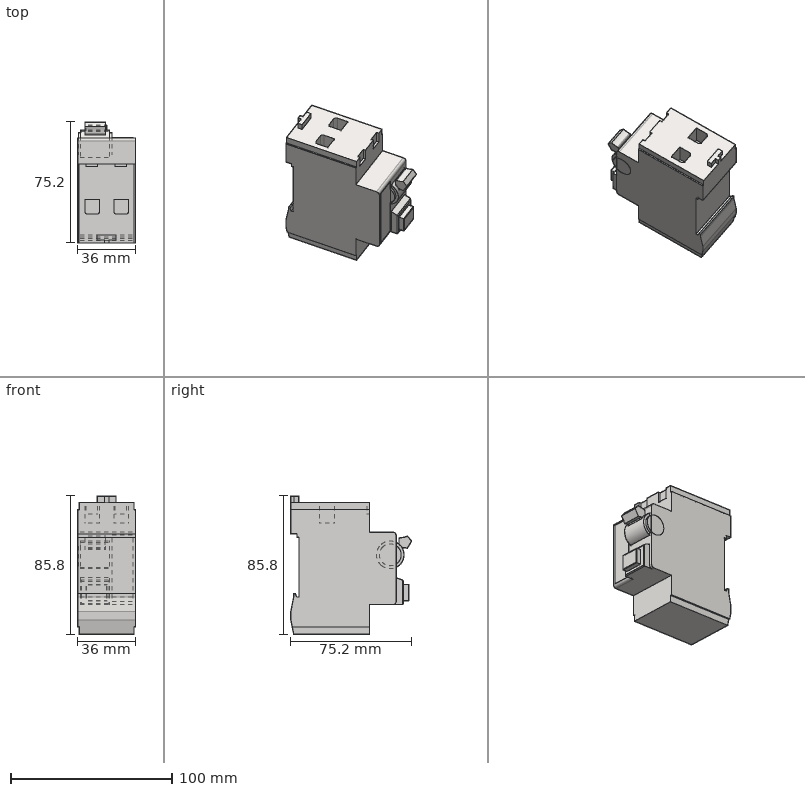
import cadquery as cq

WIDTH = 36.0
HOUSING_HEIGHT = 81.9
SHOULDER_DEPTH = 49.1
NOSE_FRONT = 65.5
NOSE_BOTTOM = 18.4
NOSE_TOP = 63.5
NOSE_FILLET = 2.0
END_STEP_WIDTH = 0.95
END_STEP_HEIGHT = 4.55

RAIL_SEAT_DEPTH = 5.15
RAIL_TOP = 62.3
RAIL_LEDGE_DEPTH = 3.9
RAIL_LEDGE_BOTTOM = 60.2
RAIL_BOTTOM = 23.2
HOOK_ROOT_Y = 3.8
HOOK_INNER_Y = 2.9
HOOK_TOP = 25.3
FOOT_SETBACK = 1.8
FOOT_FLAT_TOP = 14.1
FOOT_FLAT_BOTTOM = 9.0

TAB_TOP = 85.8
TAB_WIDTH = 11.8
TAB_DEPTH = 5.15
TAB_STEM_WIDTH = 2.7
TAB_STEM_DEPTH = 2.15

POLE_PITCH = 18.0
ENTRY_SIZE = 9.1
ENTRY_Y_MIN = 18.0
ENTRY_DEPTH = 12.9
ENTRY_CORNER_RADIUS = 1.7
RECESS_CENTER_OFFSET = 0.3
RECESS_WIDTH = 7.3
RECESS_DEPTH = 1.55
RECESS_HEIGHT = 7.3

LABEL_SIDE_MARGIN = 1.6
LABEL_THICKNESS = 0.2

BUTTON_CENTER_X = 11.6
PEDESTAL_WIDTH = 18.0
PEDESTAL_FRONT = 70.1
PEDESTAL_TOP_FRONT = 33.5
PEDESTAL_TOP_BACK = 35.3
PEDESTAL_CHAMFER = 0.6
BUTTON_WIDTH = 13.0
BUTTON_FRONT = 73.5
BUTTON_BOTTOM = 20.8
BUTTON_HEIGHT = 10.2
BUTTON_CHAMFER = 0.35

TOGGLE_CENTER_X = 10.9
PIVOT_Y = 61.9
PIVOT_Z = 49.3
DRUM_RADIUS = 8.6
DRUM_WIDTH = 18.0
HUB_RADIUS = 6.8
HUB_WIDTH = 21.0
LEVER_WIDTH = 12.95
LEVER_TIP = (75.2, 57.9)
LEVER_UPPER_CORNER = (72.5, 61.0)
LEVER_UPPER_HOLLOW = (70.35, 60.3)
LEVER_BACK_CORNER = (67.3, 60.0)
LEVER_LOWER_CORNER = (72.5, 53.4)
LEVER_LOWER_ROOT = (69.75, 53.9)
LEVER_BACK_FILLET = 0.8


def box_between(x_range, y_range, z_range):
    """Axis-aligned box given by its (min, max) along X, Y and Z."""
    size = [high - low for low, high in (x_range, y_range, z_range)]
    corner = (x_range[0], y_range[0], z_range[0])
    return cq.Workplane("XY").box(*size, centered=False).translate(corner)


def centered_range(center, size):
    return (center - size / 2, center + size / 2)


def extrude_along_x(outline, center_x, width):
    """Extrude a closed YZ outline by width, centred on center_x."""
    return outline.extrude(width / 2, both=True).translate((center_x, 0, 0))


def housing_shell():
    outline = (
        cq.Workplane("YZ")
        .moveTo(FOOT_SETBACK, 0)
        .lineTo(SHOULDER_DEPTH, 0)
        .lineTo(SHOULDER_DEPTH, NOSE_BOTTOM)
        .lineTo(NOSE_FRONT, NOSE_BOTTOM)
        .lineTo(NOSE_FRONT, NOSE_TOP)
        .lineTo(SHOULDER_DEPTH, NOSE_TOP)
        .lineTo(SHOULDER_DEPTH, HOUSING_HEIGHT)
        .lineTo(0, HOUSING_HEIGHT)
        .lineTo(0, RAIL_TOP)
        .lineTo(RAIL_LEDGE_DEPTH, RAIL_TOP)
        .lineTo(RAIL_LEDGE_DEPTH, RAIL_LEDGE_BOTTOM)
        .lineTo(RAIL_SEAT_DEPTH, RAIL_LEDGE_BOTTOM)
        .lineTo(RAIL_SEAT_DEPTH, RAIL_BOTTOM)
        .lineTo(HOOK_ROOT_Y, RAIL_BOTTOM)
        .lineTo(HOOK_INNER_Y, HOOK_TOP)
        .lineTo(FOOT_SETBACK, HOOK_TOP)
        .lineTo(FOOT_SETBACK, RAIL_BOTTOM)
        .lineTo(0, FOOT_FLAT_TOP)
        .lineTo(0, FOOT_FLAT_BOTTOM)
        .close()
    )
    shell = extrude_along_x(outline, WIDTH / 2, WIDTH)
    return shell.faces(">Y").edges("|X").fillet(NOSE_FILLET)


def end_steps():
    """Rebates along both sides of the top and bottom ends."""
    top_z = HOUSING_HEIGHT - END_STEP_HEIGHT
    steps = cq.Workplane("XY")
    for x_min in (0, WIDTH - END_STEP_WIDTH):
        for z_min in (0, top_z):
            steps = steps.add(box_between(
                (x_min, x_min + END_STEP_WIDTH),
                (0, SHOULDER_DEPTH),
                (z_min, z_min + END_STEP_HEIGHT),
            ))
    return steps.combine()


def top_tab():
    z_range = (HOUSING_HEIGHT, TAB_TOP)
    bar = box_between(centered_range(WIDTH / 2, TAB_WIDTH), (TAB_STEM_DEPTH, TAB_DEPTH), z_range)
    stem = box_between(centered_range(WIDTH / 2, TAB_STEM_WIDTH), (0, TAB_STEM_DEPTH), z_range)
    return bar.union(stem)


def wire_entry(center_x):
    entry = box_between(
        centered_range(center_x, ENTRY_SIZE),
        (ENTRY_Y_MIN, ENTRY_Y_MIN + ENTRY_SIZE),
        (HOUSING_HEIGHT - ENTRY_DEPTH, HOUSING_HEIGHT),
    )
    return entry.faces("<Y").edges("|Z").fillet(ENTRY_CORNER_RADIUS)


def terminal_recess(center_x):
    return box_between(
        centered_range(center_x - RECESS_CENTER_OFFSET, RECESS_WIDTH),
        (SHOULDER_DEPTH - RECESS_DEPTH, SHOULDER_DEPTH),
        (HOUSING_HEIGHT - RECESS_HEIGHT, HOUSING_HEIGHT),
    )


def label_panel():
    return box_between(
        (TOGGLE_CENTER_X + HUB_WIDTH / 2, WIDTH - LABEL_SIDE_MARGIN),
        (NOSE_FRONT, NOSE_FRONT + LABEL_THICKNESS),
        (NOSE_BOTTOM + NOSE_FILLET, NOSE_TOP - NOSE_FILLET),
    )


def button_pedestal():
    root_y = NOSE_FRONT - NOSE_FILLET
    outline = (
        cq.Workplane("YZ")
        .moveTo(root_y, NOSE_BOTTOM)
        .lineTo(PEDESTAL_FRONT, NOSE_BOTTOM)
        .lineTo(PEDESTAL_FRONT, PEDESTAL_TOP_FRONT)
        .lineTo(NOSE_FRONT, PEDESTAL_TOP_BACK)
        .lineTo(root_y, PEDESTAL_TOP_BACK)
        .close()
    )
    pedestal = extrude_along_x(outline, TOGGLE_CENTER_X, PEDESTAL_WIDTH)
    return pedestal.faces(">Y").edges().chamfer(PEDESTAL_CHAMFER)


def test_button():
    button = box_between(
        centered_range(BUTTON_CENTER_X, BUTTON_WIDTH),
        (PEDESTAL_FRONT, BUTTON_FRONT),
        (BUTTON_BOTTOM, BUTTON_BOTTOM + BUTTON_HEIGHT),
    )
    return button.faces(">Y").edges().chamfer(BUTTON_CHAMFER)


def toggle_drum():
    """Stepped drum, which also gives the shape of its seat in the housing."""
    def disc(radius, width):
        outline = cq.Workplane("YZ").center(PIVOT_Y, PIVOT_Z).circle(radius)
        return extrude_along_x(outline, TOGGLE_CENTER_X, width)

    return disc(DRUM_RADIUS, DRUM_WIDTH).union(disc(HUB_RADIUS, HUB_WIDTH))


def toggle_lever():
    outline = (
        cq.Workplane("YZ")
        .moveTo(*LEVER_TIP)
        .lineTo(*LEVER_UPPER_CORNER)
        .threePointArc(LEVER_UPPER_HOLLOW, LEVER_BACK_CORNER)
        .lineTo(LEVER_BACK_CORNER[0], PIVOT_Z)
        .lineTo(LEVER_LOWER_ROOT[0], PIVOT_Z)
        .lineTo(*LEVER_LOWER_ROOT)
        .lineTo(*LEVER_LOWER_CORNER)
        .close()
    )
    lever = extrude_along_x(outline, TOGGLE_CENTER_X, LEVER_WIDTH)
    back_corner = cq.selectors.NearestToPointSelector((TOGGLE_CENTER_X, *LEVER_BACK_CORNER))
    return lever.edges("|X").edges(back_corner).fillet(LEVER_BACK_FILLET)


def make_housing():
    housing = housing_shell().cut(end_steps())
    for feature in (top_tab(), label_panel(), button_pedestal(), test_button()):
        housing = housing.union(feature)
    for pole_side in (-1, 1):
        center_x = WIDTH / 2 + pole_side * POLE_PITCH / 2
        housing = housing.cut(wire_entry(center_x)).cut(terminal_recess(center_x))
    return housing.cut(toggle_drum())


def make_toggle():
    return toggle_drum().union(toggle_lever())


housing = make_housing()
toggle = make_toggle()
result = cq.Compound.makeCompound([housing.solids().val(), toggle.solids().val()])